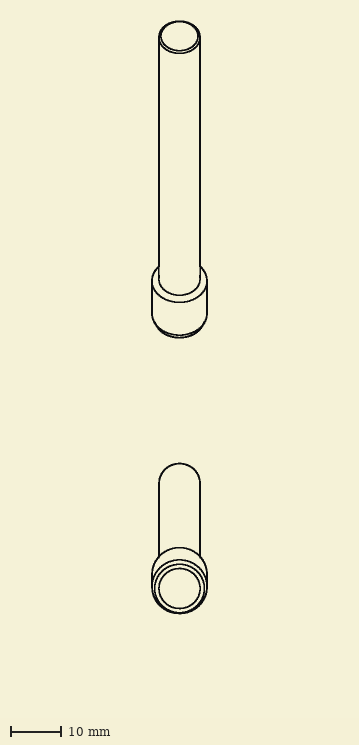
import cadquery as cq

total_length = 90.0
rod_diameter = 8.2
rod_radius = rod_diameter / 2
rod_chamfer_width = 0.405
rod_chamfer_height = 0.4

sleeve_radius = 5.5
sleeve_height = 12.5
sleeve_top_slope_height = 0.5
sleeve_lead_in_width = 0.5
sleeve_lead_in_height = 1.5


def revolve_about_z(outline):
    """Revolve a closed (radius, height) outline about the Z axis."""
    return cq.Workplane("XZ").polyline(outline).close().revolve(360, (0, 0), (0, 1))


def make_rod():
    """Full-length plain rod with a chamfered upper end."""
    return revolve_about_z([
        (0, 0),
        (rod_radius, 0),
        (rod_radius, total_length - rod_chamfer_height),
        (rod_radius - rod_chamfer_width, total_length),
        (0, total_length),
    ])


def make_sleeve():
    """Sleeve with a tapered lower end and a top face that slopes down and outward."""
    return revolve_about_z([
        (rod_radius, 0),
        (sleeve_radius - sleeve_lead_in_width, 0),
        (sleeve_radius, sleeve_lead_in_height),
        (sleeve_radius, sleeve_height - sleeve_top_slope_height),
        (rod_radius, sleeve_height),
    ])


rod = make_rod()
sleeve = make_sleeve()

result = cq.Compound.makeCompound([rod.val(), sleeve.val()])